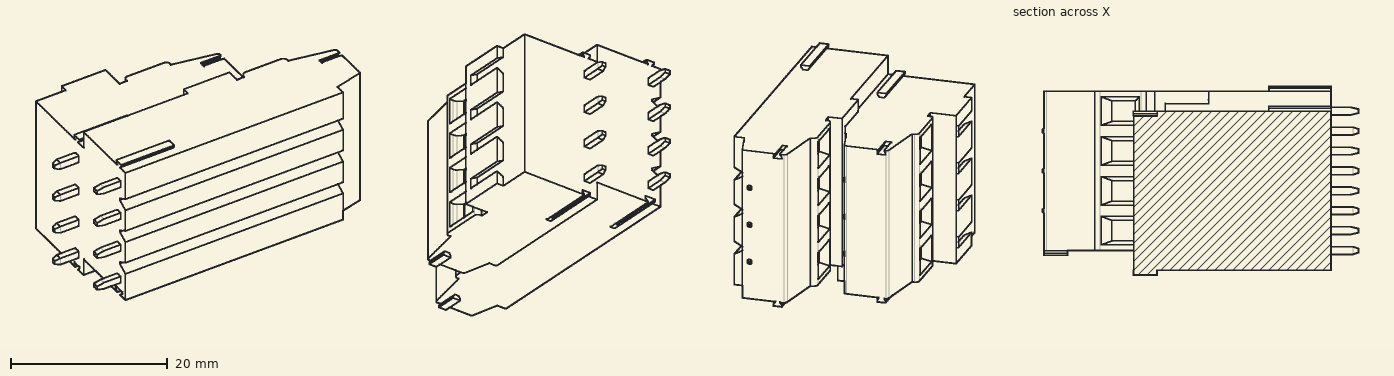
import cadquery as cq


POLES = 4
PITCH = 5.08
ROW_LENGTH = POLES * PITCH
ROW_OFFSET = PITCH / 2

LOW_FACE_X = 2.6
ROW_SPACING = 10.0
REAR_FACE_X = LOW_FACE_X + ROW_SPACING
BACK_X = 22.8
LOW_TOP_Y = 25.2
REAR_TOP_Y = 36.6
LOW_FOOT_X = 1.0
LOW_LEDGE_BOTTOM_Y = 4.47
REAR_LEDGE_BOTTOM_Y = 15.6
LEDGE_DEPTH = 1.0

NECK_X = 0.8
CROWN_FRONT_X = 1.97
CROWN_BACK_X = 7.8
SHOULDER_X = 8.83
SHOULDER_DROP = 4.05
LIP_TOP_DROP = 6.45
LIP_BOTTOM_DROP = 13.0
LEDGE_DROP = 14.15
CROWN_RADIUS = 0.35
LOW_LIP_RADIUS = 0.52
REAR_LIP_RADIUS = 0.7

SLOT_LENGTH = 5.52
LOW_SLOT_MOUTH = 1.4
REAR_SLOT_MOUTH = 1.85
SLOT_FLARE = 0.52

MOUTH_HEIGHT = 3.63
THROAT_HEIGHT = 2.6
MOUTH_TOP_DROP = 7.3
MOUTH_BOTTOM_DROP = 12.17
THROAT_TOP_DROP = 8.65
THROAT_BOTTOM_DROP = 11.65
TAPER_DEPTH = 1.2
ENTRY_DEPTH = 1.4
ARCH_START = (0.35, 7.5)
ARCH_MIDDLE = (0.55, 7.6)
ARCH_END = (0.73, 7.8)

V_MOUTH = 1.77
V_TIP = 0.25
V_TIP_X = REAR_FACE_X + SHOULDER_X

PIN_HEIGHT = 1.0
PIN_LENGTH = 3.5
PIN_TIP = 0.52
LOW_PIN_X = 11.05
LOW_PIN_WIDTH = 0.9
LOW_TIP_LENGTH = 0.73
REAR_PIN_X = 21.25
REAR_PIN_WIDTH = 0.8
REAR_TIP_LENGTH = 1.0

KEY_HEIGHT = 0.6
LIP_SHARE = 0.4
RAIL_SPAN = (0, 7.95)
RAIL_BASE = 0.65
RAIL_WIDTH = 1.2
LOW_RAIL_X = 10.92
REAR_RAIL_X = 21.15
REAR_GROOVE_DEPTH = 0.75
REAR_GROOVE_WIDTH = 1.57

RIB_LENGTH = 3.02
RIB_WIDTH = 1.13
LOW_RIB_X = 5.5
LOW_RIB_BASE = 0.75
REAR_RIB_X = 15.7
REAR_RIB_BASE = 0.55

BUMP_BASE_RADIUS = 0.32
BUMP_TIP_RADIUS = 0.15
BUMP_HEIGHT = 0.2
BUMP_ROOT = 0.2
REAR_BUMP_X = 19.45
LOW_BUMP_DROP = 1.0


def prism(points, z_start, z_end):
    """Extrude a closed XY outline along Z."""
    return cq.Workplane("XY").workplane(offset=z_start).polyline(points).close().extrude(z_end - z_start)


def prism_along_y(points, y_start, y_end):
    """Extrude a closed XZ outline along Y."""
    return cq.Workplane("XZ", origin=(0, y_start, 0)).polyline(points).close().extrude(y_start - y_end)


def pole_centres(z_base):
    return [z_base + (pole + 0.5) * PITCH for pole in range(POLES)]


def pole_joints(z_base):
    return [z_base + joint * PITCH for joint in range(1, POLES)]


def housing(face_x, foot_x, back_x, top_y, ledge_bottom_y, z_base, lip_radius, crown_corners):
    """Plain body of one row, with rounded lip and crown corners."""
    ledge_x = foot_x - LEDGE_DEPTH
    lip_top = (face_x, top_y - LIP_TOP_DROP)
    lip_bottom = (face_x, top_y - LIP_BOTTOM_DROP)
    outline = [
        (foot_x, 0),
        (foot_x, ledge_bottom_y),
        (ledge_x, ledge_bottom_y),
        (ledge_x, top_y - LEDGE_DROP),
        (face_x + NECK_X, top_y - LEDGE_DROP),
        (face_x + NECK_X, top_y - LIP_BOTTOM_DROP),
        lip_bottom,
        lip_top,
        (face_x + NECK_X, top_y - LIP_TOP_DROP),
        (face_x + CROWN_FRONT_X, top_y),
        (face_x + CROWN_BACK_X, top_y),
        (face_x + SHOULDER_X, top_y - SHOULDER_DROP),
        (back_x, top_y - SHOULDER_DROP),
        (back_x, 0),
    ]
    body = prism(outline, z_base, z_base + ROW_LENGTH)
    z_middle = z_base + ROW_LENGTH / 2
    for x, y in (lip_top, lip_bottom):
        body = body.edges(cq.NearestToPointSelector((x, y, z_middle))).fillet(lip_radius)
    for x in crown_corners:
        body = body.edges(cq.NearestToPointSelector((face_x + x, top_y, z_middle))).fillet(CROWN_RADIUS)
    return body


def ledge_slot(foot_x, ledge_bottom_y, z_centre, mouth):
    """Dovetail slot in a ledge, widest at its floor and open towards the board."""
    ledge_x = foot_x - LEDGE_DEPTH
    half_mouth = mouth / 2
    half_floor = half_mouth + SLOT_FLARE
    section = [
        (ledge_x, z_centre - half_mouth),
        (ledge_x, z_centre + half_mouth),
        (foot_x, z_centre + half_floor),
        (foot_x, z_centre - half_floor),
    ]
    return prism_along_y(section, ledge_bottom_y, ledge_bottom_y + SLOT_LENGTH)


def wire_entry(face_x, top_y, z_centre, arched):
    """Funnel-shaped wire entry, the overlap of its side profile and its plan profile."""
    taper_x = face_x + TAPER_DEPTH
    end_x = face_x + ENTRY_DEPTH
    throat_top_y = top_y - THROAT_TOP_DROP
    throat_bottom_y = top_y - THROAT_BOTTOM_DROP
    mouth_top_y = top_y - MOUTH_TOP_DROP
    mouth_bottom_y = top_y - MOUTH_BOTTOM_DROP
    profile = (
        cq.Workplane("XY", origin=(0, 0, z_centre))
        .moveTo(face_x, mouth_bottom_y)
        .lineTo(taper_x, throat_bottom_y)
        .lineTo(end_x, throat_bottom_y)
        .lineTo(end_x, throat_top_y)
        .lineTo(taper_x, throat_top_y)
    )
    if arched:
        arch_points = [(face_x + depth, top_y - drop) for depth, drop in (ARCH_END, ARCH_MIDDLE, ARCH_START)]
        profile = profile.lineTo(*arch_points[0]).threePointArc(*arch_points[1:])
    funnel = profile.lineTo(face_x, mouth_top_y).close().extrude(MOUTH_HEIGHT / 2, both=True)
    section = [
        (face_x, z_centre - MOUTH_HEIGHT / 2),
        (taper_x, z_centre - THROAT_HEIGHT / 2),
        (end_x, z_centre - THROAT_HEIGHT / 2),
        (end_x, z_centre + THROAT_HEIGHT / 2),
        (taper_x, z_centre + THROAT_HEIGHT / 2),
        (face_x, z_centre + MOUTH_HEIGHT / 2),
    ]
    return funnel.intersect(prism_along_y(section, mouth_bottom_y, mouth_top_y))


def dovetail(x_centre, base, width, z_base, height, y_start, y_end):
    """Rail, rib or groove that flares from its base, then runs straight; a negative height points it down."""
    z_lip = z_base + height * (1 - LIP_SHARE)
    z_end = z_base + height
    section = [
        (x_centre - base / 2, z_base),
        (x_centre - width / 2, z_lip),
        (x_centre - width / 2, z_end),
        (x_centre + width / 2, z_end),
        (x_centre + width / 2, z_lip),
        (x_centre + base / 2, z_base),
    ]
    return prism_along_y(section, y_start, y_end)


def v_groove(z_centre):
    """V-groove running the full height of the back wall."""
    section = [
        (BACK_X, z_centre - V_MOUTH / 2),
        (V_TIP_X, z_centre - V_TIP / 2),
        (V_TIP_X, z_centre + V_TIP / 2),
        (BACK_X, z_centre + V_MOUTH / 2),
    ]
    return prism_along_y(section, 0, REAR_TOP_Y - SHOULDER_DROP)


def pin(x_centre, z_centre, width, tip_width, tip_length):
    """Solder pin with a tapered tip."""
    shank_length = PIN_LENGTH - tip_length
    shank = cq.Workplane("XZ", origin=(x_centre, 0, z_centre)).rect(width, PIN_HEIGHT).extrude(shank_length)
    tip = (
        cq.Workplane("XZ", origin=(x_centre, -shank_length, z_centre))
        .rect(width, PIN_HEIGHT)
        .workplane(offset=tip_length)
        .rect(tip_width, PIN_TIP)
        .loft()
    )
    return shank.union(tip)


def bump(surface_point, outward):
    """Blunt conical bump standing on a surface along its outward direction."""
    flare = (BUMP_BASE_RADIUS - BUMP_TIP_RADIUS) / BUMP_HEIGHT
    root_radius = BUMP_BASE_RADIUS + flare * BUMP_ROOT
    root_centre = surface_point - outward.normalized() * BUMP_ROOT
    length = BUMP_ROOT + BUMP_HEIGHT
    return cq.Workplane(obj=cq.Solid.makeCone(root_radius, BUMP_TIP_RADIUS, length, root_centre, outward))


def low_row():
    z_top = ROW_LENGTH
    rib_span = (LOW_TOP_Y - RIB_LENGTH, LOW_TOP_Y)
    row = housing(LOW_FACE_X, LOW_FOOT_X, REAR_FACE_X, LOW_TOP_Y, LOW_LEDGE_BOTTOM_Y, 0,
                  LOW_LIP_RADIUS, (CROWN_FRONT_X, CROWN_BACK_X))
    for z in pole_centres(0):
        row = row.cut(ledge_slot(LOW_FOOT_X, LOW_LEDGE_BOTTOM_Y, z, LOW_SLOT_MOUTH))
        row = row.cut(wire_entry(LOW_FACE_X, LOW_TOP_Y, z, arched=True))
        row = row.union(pin(LOW_PIN_X, z, LOW_PIN_WIDTH, PIN_TIP, LOW_TIP_LENGTH))
    slope_run = SHOULDER_X - CROWN_BACK_X
    bump_x = LOW_FACE_X + CROWN_BACK_X + LOW_BUMP_DROP * slope_run / SHOULDER_DROP
    slope_normal = cq.Vector(SHOULDER_DROP, slope_run, 0)
    for z in pole_joints(0):
        row = row.union(bump(cq.Vector(bump_x, LOW_TOP_Y - LOW_BUMP_DROP, z), slope_normal))
    row = row.cut(dovetail(LOW_RAIL_X, RAIL_BASE, RAIL_WIDTH, 0, KEY_HEIGHT, *RAIL_SPAN))
    row = row.cut(dovetail(LOW_RIB_X, LOW_RIB_BASE, RIB_WIDTH, z_top, -KEY_HEIGHT, *rib_span))
    row = row.union(dovetail(LOW_RAIL_X, RAIL_BASE, RAIL_WIDTH, z_top, KEY_HEIGHT, *RAIL_SPAN))
    return row.union(dovetail(LOW_RIB_X, LOW_RIB_BASE, RIB_WIDTH, 0, -KEY_HEIGHT, *rib_span))


def rear_row():
    z_base = ROW_OFFSET
    z_top = z_base + ROW_LENGTH
    rib_span = (REAR_TOP_Y - RIB_LENGTH, REAR_TOP_Y)
    row = housing(REAR_FACE_X, REAR_FACE_X, BACK_X, REAR_TOP_Y, REAR_LEDGE_BOTTOM_Y, z_base,
                  REAR_LIP_RADIUS, (CROWN_FRONT_X,))
    for z in pole_centres(z_base):
        row = row.cut(ledge_slot(REAR_FACE_X, REAR_LEDGE_BOTTOM_Y, z, REAR_SLOT_MOUTH))
        row = row.cut(wire_entry(REAR_FACE_X, REAR_TOP_Y, z, arched=False))
        row = row.union(pin(REAR_PIN_X, z, REAR_PIN_WIDTH, REAR_PIN_WIDTH, REAR_TIP_LENGTH))
    for z in pole_joints(z_base):
        row = row.cut(v_groove(z))
        row = row.union(bump(cq.Vector(REAR_BUMP_X, REAR_TOP_Y, z), cq.Vector(0, 1, 0)))
    row = row.cut(dovetail(REAR_RAIL_X, RAIL_BASE, REAR_GROOVE_WIDTH, z_base, REAR_GROOVE_DEPTH, *RAIL_SPAN))
    row = row.cut(dovetail(REAR_RIB_X, REAR_RIB_BASE, RIB_WIDTH, z_top, -KEY_HEIGHT, *rib_span))
    row = row.union(dovetail(REAR_RAIL_X, RAIL_BASE, RAIL_WIDTH, z_top, KEY_HEIGHT, *RAIL_SPAN))
    return row.union(dovetail(REAR_RIB_X, REAR_RIB_BASE, RIB_WIDTH, z_base, -KEY_HEIGHT, *rib_span))


result = low_row().union(rear_row())